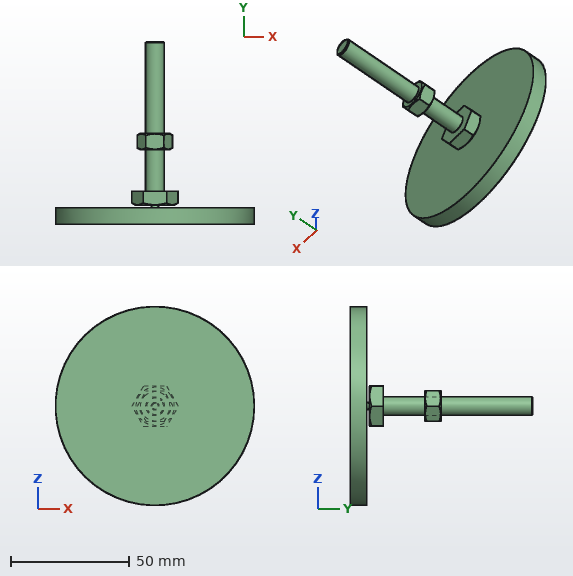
import cadquery as cq
import math


pad_diameter = 84.0
pad_thickness = 7.0

overall_length = 77.0
neck_length = 1.0
neck_diameter = 2.6
neck_base_diameter = 3.4
head_height = 6.0
head_across_flats = 17.0
rod_diameter = 8.0
rod_chamfer = 0.5

nut_start = 31.5
nut_height = 6.8
nut_across_flats = 13.0

bevel_slope = 0.58
bevel_face_ratio = 0.95

head_start = pad_thickness + neck_length
head_end = head_start + head_height


def axial_cylinder(diameter, start, end):
    """Round bar along +Y between two stations."""
    return cq.Workplane("XZ", origin=(0, start, 0)).circle(diameter / 2).extrude(start - end)


def bevelled_hexagon(across_flats, start, end, bevel_far_end):
    """Hexagon along +Y with two corners on the X axis and bevelled corners."""
    corner_diameter = across_flats / math.cos(math.radians(30))
    hexagon = (
        cq.Workplane("XZ", origin=(0, start, 0))
        .polygon(6, corner_diameter)
        .extrude(start - end)
    )
    face_radius = bevel_face_ratio * across_flats / 2
    outer_radius = across_flats
    bevel_drop = bevel_slope * (outer_radius - face_radius)

    envelope = cq.Workplane("XY").moveTo(0, start).lineTo(face_radius, start)
    envelope = envelope.lineTo(outer_radius, start + bevel_drop)
    if bevel_far_end:
        envelope = envelope.lineTo(outer_radius, end - bevel_drop).lineTo(face_radius, end)
    else:
        envelope = envelope.lineTo(outer_radius, end)
    envelope = envelope.lineTo(0, end).close().revolve(360, (0, 0, 0), (0, 1, 0))
    return hexagon.intersect(envelope)


def make_pad():
    return axial_cylinder(pad_diameter, 0, pad_thickness)


def make_stud():
    neck = (
        cq.Workplane("XY")
        .moveTo(0, pad_thickness)
        .lineTo(neck_base_diameter / 2, pad_thickness)
        .lineTo(neck_diameter / 2, head_start)
        .lineTo(0, head_start)
        .close()
        .revolve(360, (0, 0, 0), (0, 1, 0))
    )
    head = bevelled_hexagon(head_across_flats, head_start, head_end, bevel_far_end=False)
    rod = axial_cylinder(rod_diameter, head_end, overall_length).faces(">Y").chamfer(rod_chamfer)
    return head.union(neck).union(rod)


def make_nut():
    nut_end = nut_start + nut_height
    nut = bevelled_hexagon(nut_across_flats, nut_start, nut_end, bevel_far_end=True)
    return nut.cut(axial_cylinder(rod_diameter, nut_start, nut_end))


pad = make_pad()
stud = make_stud()
nut = make_nut()

result = cq.Compound.makeCompound([pad.val(), stud.val(), nut.val()])